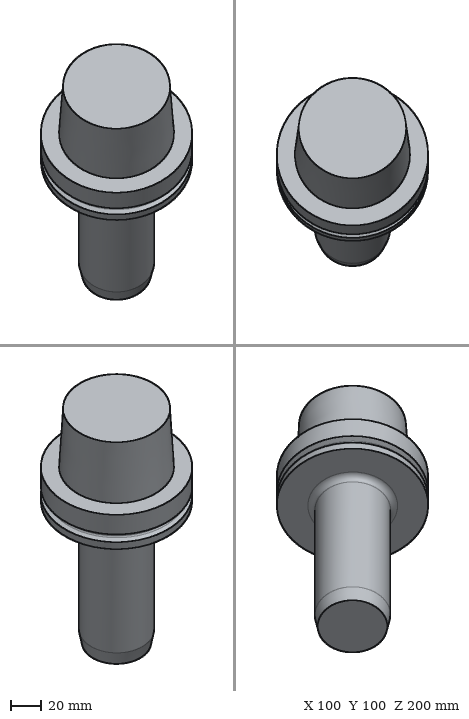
import cadquery as cq

total_height = 200.0
flange_top = 150.0
flange_bottom = 120.5

shank_top_radius = 35.5
shank_base_radius = 38.0

flange_radius = 100.0 / 2
groove_floor_radius = 92.0 / 2
groove_top = 133.2
groove_floor_top = 131.5
groove_floor_bottom = 128.2
groove_bottom = 126.5
groove_fillet = 1.2

arbor_radius = 25.0
neck_fillet = 4.5
tip_radius = 23.0
tip_height = 11.5


def revolved_body():
    """Solid of revolution from the arbor tip up to the shank end."""
    profile = (
        cq.Workplane("XZ")
        .lineTo(tip_radius, 0)
        .lineTo(arbor_radius, tip_height)
        .lineTo(arbor_radius, flange_bottom - neck_fillet)
        .radiusArc((arbor_radius + neck_fillet, flange_bottom), neck_fillet)
        .lineTo(flange_radius, flange_bottom)
        .lineTo(flange_radius, groove_bottom)
        .lineTo(groove_floor_radius, groove_floor_bottom)
        .lineTo(groove_floor_radius, groove_floor_top)
        .lineTo(flange_radius, groove_top)
        .lineTo(flange_radius, flange_top)
        .lineTo(shank_base_radius, flange_top)
        .lineTo(shank_top_radius, total_height)
        .lineTo(0, total_height)
        .close()
    )
    return profile.revolve(360, (0, 0, 0), (0, 1, 0))


def round_groove_corners(body):
    """Fillet the two circular corners at the groove floor."""
    margin = 0.2
    floor_corners = cq.selectors.BoxSelector(
        (-flange_radius, -flange_radius, groove_floor_bottom - margin),
        (flange_radius, flange_radius, groove_floor_top + margin),
        boundingbox=True,
    )
    return body.edges("%CIRCLE").edges(floor_corners).fillet(groove_fillet)


result = round_groove_corners(revolved_body())